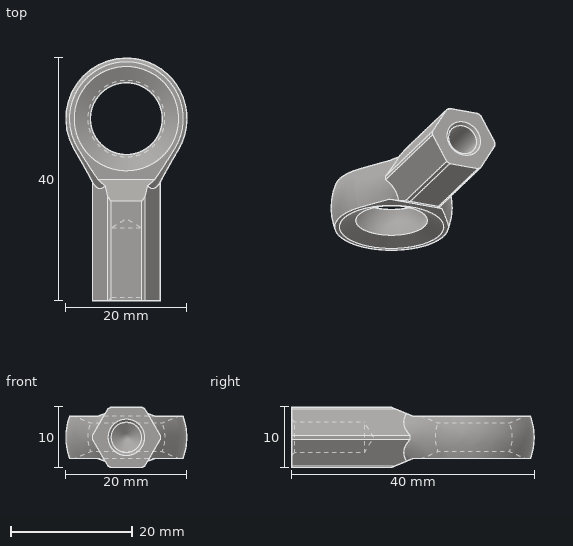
import cadquery as cq
import math

eye_radius = 10.0
eye_thickness = 7.0
bore_mouth_radius = 8.6
bore_throat_radius = 5.9
socket_radius = 6.35
neck_half_angle = 29.3

shank_end = -30.0
hex_sides = 6
hex_across_flats = 10.0
hex_across_corners = 11.2
taper_start = -10.0
taper_end = -13.6

hole_radius = 2.5
hole_mouth_radius = 3.0
hole_depth = 12.0
drill_point_angle = 118.0

half_eye = eye_thickness / 2
half_flats = hex_across_flats / 2


def make_eye():
    """Sphere running tangentially into a cone along Y, which converges on the shank."""
    angle = math.radians(neck_half_angle)
    tangent_point = (eye_radius * math.cos(angle), -eye_radius * math.sin(angle))
    arc_middle_angle = (math.pi / 2 - angle) / 2
    arc_middle = (eye_radius * math.cos(arc_middle_angle), eye_radius * math.sin(arc_middle_angle))
    cone_apex = -eye_radius / math.sin(angle)
    return (
        cq.Workplane("XY")
        .moveTo(0, eye_radius)
        .threePointArc(arc_middle, tangent_point)
        .lineTo(0, cone_apex)
        .close()
        .revolve(360, (0, 0, 0), (0, 1, 0))
    )


def make_shank():
    """Hexagonal bar with flat tops and its six corners turned down."""
    length = taper_start - shank_end
    corner_diameter = hex_across_flats / math.cos(math.pi / hex_sides)
    face = cq.Workplane("XZ", origin=(0, taper_start, 0))
    hexagon = face.polygon(hex_sides, corner_diameter).extrude(length)
    turned_bar = face.circle(hex_across_corners / 2).extrude(length)
    return hexagon.intersect(turned_bar)


def make_side_envelope():
    """Side outline: thin at the eye, tapering up to the full shank height."""
    upper = [
        (eye_radius, half_eye),
        (taper_start, half_eye),
        (taper_end, half_flats),
        (shank_end, half_flats),
    ]
    lower = [(y, -z) for y, z in reversed(upper)]
    return cq.Workplane("YZ").polyline(upper + lower).close().extrude(eye_radius, both=True)


def make_bore():
    """Spherical seat opening through a conical countersink on each face."""
    throat_height = math.sqrt(socket_radius**2 - bore_throat_radius**2)
    return (
        cq.Workplane("XZ")
        .moveTo(0, -half_eye)
        .lineTo(bore_mouth_radius, -half_eye)
        .lineTo(bore_throat_radius, -throat_height)
        .threePointArc((socket_radius, 0), (bore_throat_radius, throat_height))
        .lineTo(bore_mouth_radius, half_eye)
        .lineTo(0, half_eye)
        .close()
        .revolve(360, (0, 0, 0), (0, 1, 0))
    )


def make_hole():
    """Drilled hole with a chamfered mouth and a conical drill point."""
    chamfer = hole_mouth_radius - hole_radius
    point = hole_radius / math.tan(math.radians(drill_point_angle / 2))
    bottom = shank_end + hole_depth
    return (
        cq.Workplane("XY")
        .polyline(
            [
                (0, shank_end),
                (hole_mouth_radius, shank_end),
                (hole_radius, shank_end + chamfer),
                (hole_radius, bottom),
                (0, bottom + point),
            ]
        )
        .close()
        .revolve(360, (0, 0, 0), (0, 1, 0))
    )


body = make_eye().union(make_shank()).intersect(make_side_envelope())
result = body.cut(make_bore()).cut(make_hole())